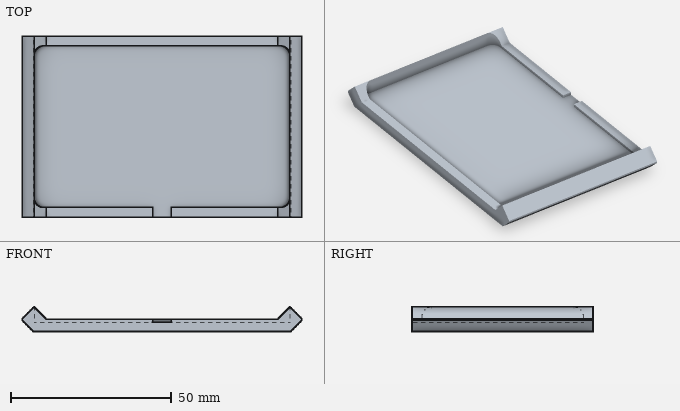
import cadquery as cq

length = 87.3
width = 56.6
height = 7.8

plate_thickness = 3.9
lip_width = 3.75
inner_slope_width = 3.75
bottom_bevel = 3.5

pocket_depth = 1.0
pocket_corner_radius = 3.0
rim_width = 3.05
pocket_length = length - 2 * lip_width
pocket_width = width - 2 * rim_width
pocket_floor = plate_thickness - pocket_depth

notch_width = 5.85


def make_body():
    """Extrude the lipped plate profile along Y, centred on the origin."""
    half = length / 2
    right_side = [
        (half - bottom_bevel, 0),
        (half, bottom_bevel),
        (half, height - lip_width),
        (half - lip_width, height),
        (half - lip_width - inner_slope_width, plate_thickness),
    ]
    left_side = [(-x, z) for x, z in reversed(right_side)]
    profile = cq.Workplane("XZ").polyline(right_side + left_side).close()
    return profile.extrude(width / 2, both=True)


def make_pocket():
    """Rounded pocket, cut up to crest height so it also trims the inner slopes of the lips."""
    return (
        cq.Workplane("XY", origin=(0, 0, pocket_floor))
        .rect(pocket_length, pocket_width)
        .extrude(height - pocket_floor)
        .edges("|Z")
        .fillet(pocket_corner_radius)
    )


def make_notch():
    """Opening at pocket-floor level from the front face to the middle of the pocket."""
    return cq.Workplane("XY").box(
        notch_width, width / 2, pocket_depth, centered=(True, False, False)
    ).translate((0, -width / 2, pocket_floor))


result = make_body().cut(make_pocket()).cut(make_notch())